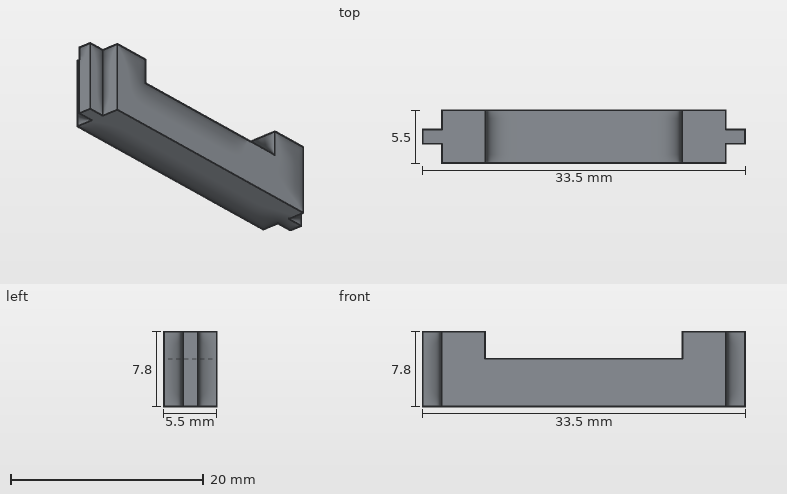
import cadquery as cq

body_length = 29.5
body_width = 5.5
overall_height = 7.8
tongue_length = 2.0
tongue_width = 1.5
recess_length = 20.5
floor_height = 5.0

overall_length = body_length + 2 * tongue_length
recess_depth = overall_height - floor_height


def bottom_centred_box(length, width, height):
    """Box centred on X and Y, standing on Z = 0."""
    return cq.Workplane("XY").box(length, width, height, centered=(True, True, False))


def make_body():
    """Main block that carries the recess."""
    return bottom_centred_box(body_length, body_width, overall_height)


def make_tongues():
    """Full-height bar whose two ends stick out of the block as tongues."""
    return bottom_centred_box(overall_length, tongue_width, overall_height)


def make_recess():
    """Cutter for the recess across the full width of the top."""
    cutter = bottom_centred_box(recess_length, body_width, recess_depth)
    return cutter.translate((0, 0, floor_height))


result = make_body().union(make_tongues()).cut(make_recess())